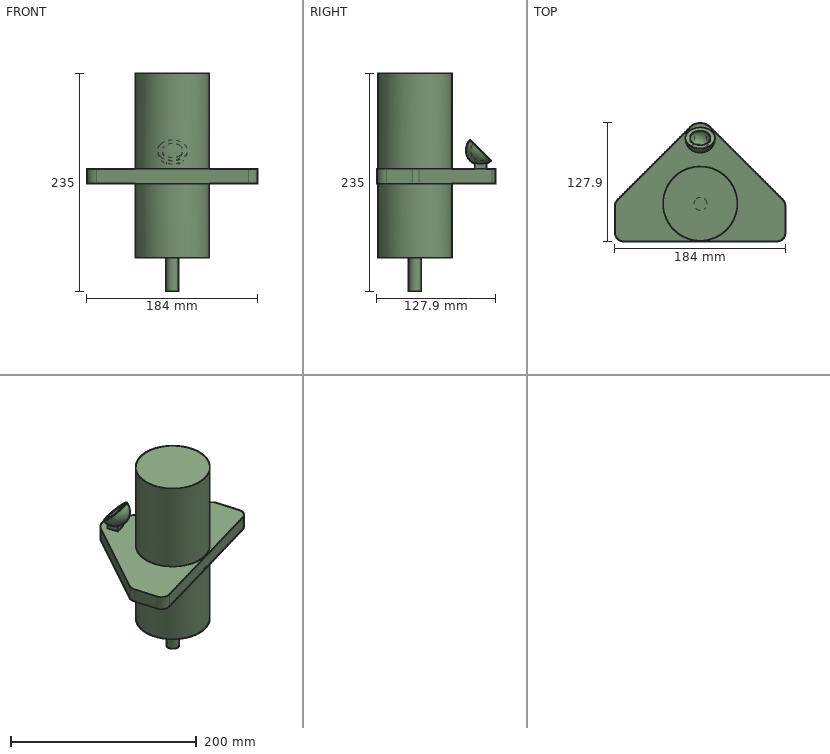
import cadquery as cq

body_diameter = 80.0
body_above_plate = 103.0
body_below_plate = 80.0
shaft_diameter = 14.0
shaft_length = 36.0

plate_width = 184.0
plate_depth = 127.94
plate_thickness = 16.0
plate_front_y = -41.0
corner_radius = 10.0
apex_radius = 15.0

cup_outer_radius = 16.0
cup_inner_radius = 11.0
cup_tilt = 45.0
cup_y = 70.7
cup_center_height = 20.0
post_side = 13.0
post_height = 8.0


def make_body():
    length = body_below_plate + plate_thickness + body_above_plate
    return cq.Workplane("XY").workplane(offset=-body_below_plate).circle(body_diameter / 2).extrude(length)


def make_shaft():
    body_bottom = cq.Workplane("XY").workplane(offset=-body_below_plate)
    return body_bottom.circle(shaft_diameter / 2).extrude(-shaft_length)


def make_plate():
    half_width = plate_width / 2
    sharp_apex_y = plate_front_y + plate_depth + apex_radius * (2**0.5 - 1)
    shoulder_y = sharp_apex_y - half_width
    outline = [
        (-half_width, plate_front_y),
        (half_width, plate_front_y),
        (half_width, shoulder_y),
        (0, sharp_apex_y),
        (-half_width, shoulder_y),
    ]
    plate = cq.Workplane("XY").polyline(outline).close().extrude(plate_thickness)
    plate = plate.edges("|Z").edges(">Y").fillet(apex_radius)
    side_corners = plate.edges("|Z").edges("<X or >X")
    return side_corners.fillet(corner_radius)


def make_lower_hemisphere(radius):
    """Solid hemisphere about the origin, flat face up before being tilted towards +Y."""
    profile = cq.Workplane("XZ").moveTo(0, 0).lineTo(radius, 0)
    profile = profile.radiusArc((0, -radius), radius).close()
    hemisphere = profile.revolve(360, (0, 0, 0), (0, 1, 0))
    tilted = hemisphere.rotate((0, 0, 0), (1, 0, 0), -cup_tilt)
    return tilted.translate((0, cup_y, plate_thickness + cup_center_height))


def make_cup():
    return make_lower_hemisphere(cup_outer_radius).cut(make_lower_hemisphere(cup_inner_radius))


def make_post():
    base = cq.Workplane("XY").workplane(offset=plate_thickness).center(0, cup_y)
    return base.rect(post_side, post_side).extrude(post_height)


result = make_plate().union(make_body()).union(make_shaft()).union(make_post()).union(make_cup())